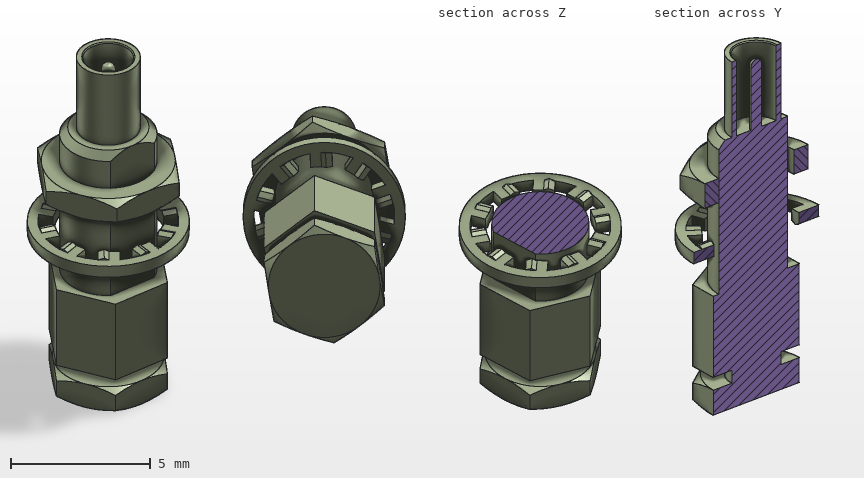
import cadquery as cq
import math


TOTAL_HEIGHT = 13.97
END_HEX_HEIGHT = 1.02
BODY_HEX_BOTTOM_Z = 1.52
BODY_HEX_TOP_Z = 4.8
WASHER_BOTTOM_Z = 6.4
WASHER_THICKNESS = 0.47
NUT_BOTTOM_Z = 8.48
NUT_THICKNESS = 0.99
SHOULDER_Z = 10.92

HEX_ACROSS_FLATS = 4.0
TUBE_RADIUS = 1.15
BARREL_RADIUS = 1.75
BARREL_CHAMFER = 0.3
BARREL_FLAT_X = 1.45
BORE_RADIUS = 0.91
BORE_RIM_CHAMFER = 0.04
PIN_RADIUS = 0.25
PIN_TIP_RECESS = 0.27
PIN_TIP_Z = TOTAL_HEIGHT - PIN_TIP_RECESS

NUT_ACROSS_FLATS = 4.79

HEX_SIDES = 6
HEX_CORNER_RATIO = 1 / math.cos(math.pi / HEX_SIDES)
HEX_CHAMFER_ANGLE = 30.0

WASHER_DIAMETER = 5.8
WASHER_RADIUS = WASHER_DIAMETER / 2
WASHER_BORE_RADIUS = 2.51
TOOTH_COUNT = 10
TOOTH_TIP_X = 1.95
TOOTH_HALF_WIDTH = 0.39
TOOTH_RIDGE_OFFSET = 0.17
TOOTH_RIDGE_HEIGHT = 0.08


def cylinder(radius, bottom_z, top_z):
    """Upright cylinder on the part axis."""
    return cq.Workplane("XY", origin=(0, 0, bottom_z)).circle(radius).extrude(top_z - bottom_z)


def hex_prism(across_flats, bottom_z, height):
    """Hexagonal prism with corners on +Y and -Y."""
    corner_diameter = across_flats * HEX_CORNER_RATIO
    return (
        cq.Workplane("XY", origin=(0, 0, bottom_z))
        .polygon(HEX_SIDES, corner_diameter)
        .extrude(height)
        .rotate((0, 0, 0), (0, 0, 1), 90)
    )


def chamfered_hex(across_flats, bottom_z, height):
    """Hexagonal prism whose corners are turned down by a cone at both ends."""
    flat_radius = across_flats / 2
    corner_radius = flat_radius * HEX_CORNER_RATIO
    drop = (corner_radius - flat_radius) * math.tan(math.radians(HEX_CHAMFER_ANGLE))
    top_z = bottom_z + height
    turned_blank = (
        cq.Workplane("XZ")
        .moveTo(0, bottom_z)
        .lineTo(flat_radius, bottom_z)
        .lineTo(corner_radius, bottom_z + drop)
        .lineTo(corner_radius, top_z - drop)
        .lineTo(flat_radius, top_z)
        .lineTo(0, top_z)
        .close()
        .revolve(360, (0, 0, 0), (0, 1, 0))
    )
    return hex_prism(across_flats, bottom_z, height).intersect(turned_blank)


def make_barrel():
    """Round barrel with a chamfered shoulder and one flat facing +X."""
    barrel = cylinder(BARREL_RADIUS, BODY_HEX_TOP_Z, SHOULDER_Z).faces(">Z").chamfer(BARREL_CHAMFER)
    flat_side = cq.Workplane("XY", origin=(BARREL_FLAT_X, 0, BODY_HEX_TOP_Z)).box(
        BARREL_RADIUS,
        2 * BARREL_RADIUS,
        SHOULDER_Z - BODY_HEX_TOP_Z,
        centered=(False, True, False),
    )
    return barrel.cut(flat_side)


def make_pin():
    """Contact pin with a hemispherical tip, standing on the bore floor."""
    tip_center_z = PIN_TIP_Z - PIN_RADIUS
    tip = cq.Workplane("XY", origin=(0, 0, tip_center_z)).sphere(PIN_RADIUS)
    return cylinder(PIN_RADIUS, SHOULDER_Z, tip_center_z).union(tip)


def make_connector():
    """Connector body with its contact pin, as one solid."""
    end_hex = chamfered_hex(HEX_ACROSS_FLATS, 0, END_HEX_HEIGHT)
    neck = cylinder(TUBE_RADIUS, END_HEX_HEIGHT, BODY_HEX_BOTTOM_Z)
    body_hex = hex_prism(HEX_ACROSS_FLATS, BODY_HEX_BOTTOM_Z, BODY_HEX_TOP_Z - BODY_HEX_BOTTOM_Z)
    tube = (
        cylinder(TUBE_RADIUS, SHOULDER_Z, TOTAL_HEIGHT)
        .cut(cylinder(BORE_RADIUS, SHOULDER_Z, TOTAL_HEIGHT))
        .faces(">Z")
        .edges(cq.selectors.RadiusNthSelector(0))
        .chamfer(BORE_RIM_CHAMFER)
    )
    return end_hex.union(neck).union(body_hex).union(make_barrel()).union(tube).union(make_pin())


def make_nut():
    """Panel nut around the barrel."""
    blank = chamfered_hex(NUT_ACROSS_FLATS, NUT_BOTTOM_Z, NUT_THICKNESS)
    return blank.cut(cylinder(BARREL_RADIUS, NUT_BOTTOM_Z, NUT_BOTTOM_Z + NUT_THICKNESS))


def make_tooth():
    """Flat-ended washer tooth on +X, with a ridge on top of its -Y half and one below its +Y half."""
    half_thickness = WASHER_THICKNESS / 2
    ridge_z = half_thickness + TOOTH_RIDGE_HEIGHT
    upper_outline = [
        (TOOTH_HALF_WIDTH, half_thickness),
        (0, half_thickness),
        (-TOOTH_RIDGE_OFFSET, ridge_z),
        (-TOOTH_HALF_WIDTH, half_thickness),
    ]
    lower_outline = [(-y, -z) for y, z in upper_outline]
    middle_z = WASHER_BOTTOM_Z + half_thickness
    bar = (
        cq.Workplane("YZ", origin=(TOOTH_TIP_X, 0, middle_z))
        .polyline(upper_outline + lower_outline)
        .close()
        .extrude(WASHER_BORE_RADIUS - TOOTH_TIP_X)
    )
    bore_fill = cylinder(WASHER_BORE_RADIUS, middle_z - ridge_z, middle_z + ridge_z)
    return bar.intersect(bore_fill)


def make_washer():
    """Flat ring with inward teeth."""
    washer_top_z = WASHER_BOTTOM_Z + WASHER_THICKNESS
    washer = cylinder(WASHER_RADIUS, WASHER_BOTTOM_Z, washer_top_z).cut(
        cylinder(WASHER_BORE_RADIUS, WASHER_BOTTOM_Z, washer_top_z)
    )
    tooth = make_tooth()
    for index in range(TOOTH_COUNT):
        washer = washer.union(tooth.rotate((0, 0, 0), (0, 0, 1), index * 360 / TOOTH_COUNT))
    return washer


connector = make_connector()
nut = make_nut()
washer = make_washer()

result = cq.Compound.makeCompound([connector.val(), nut.val(), washer.val()])